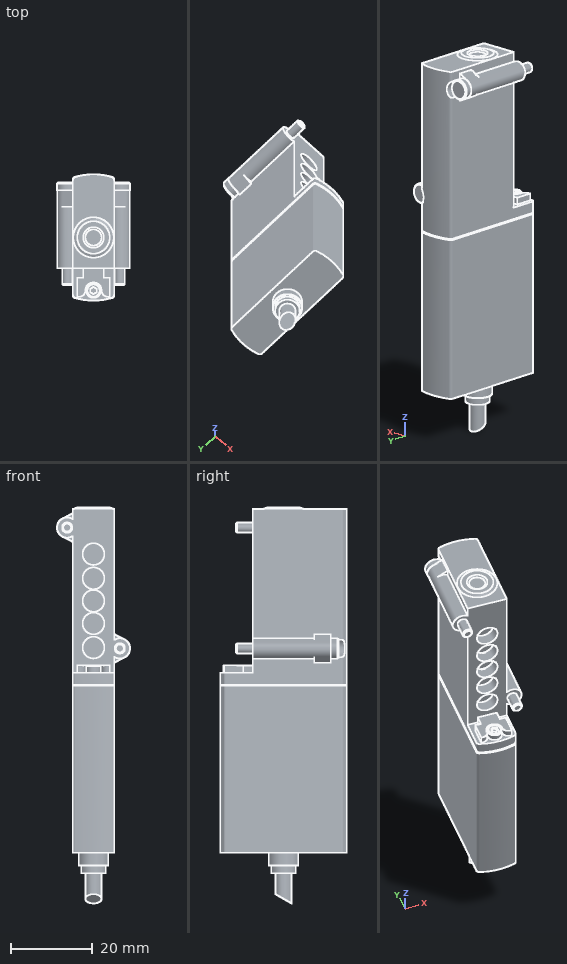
import cadquery as cq
import math


width = 10.2
depth = 31.0
body_height = 84.05
corner_radius = 0.8
step_height = 44.1
step_y = -7.6
joint_height = 41.0
joint_width = 0.3
joint_depth = 0.1

hole_diameter = 5.3
hole_depth = 3.0
hole_row_center = 61.6
hole_offsets = (-11.4, -5.5, 0, 5.5, 11.4)

screws = ((-1, 79.5), (1, 50.0))
head_diameter = 5.0
sleeve_diameter = 4.9
shank_diameter = 2.5
overall_width = 17.9
screw_x = (overall_width - head_diameter) / 2
head_back_y = 13.5
sleeve_back_y = 11.5
web_front_y = 7.5
shank_tip_y = -11.6
web_angle = 28.0
edge_chamfer = 0.3

button_base_diameter = 9.9
button_top_diameter = 7.9
total_height = 96.8
cable_end = -12.4
button_top = total_height + cable_end
dimple_rim_diameter = 5.0
dimple_floor_diameter = 4.0
dimple_depth = 0.4

gland_diameter = 7.3
gland_chamfer = 0.15
gland_length = 3.2
collar_diameter = 6.0
collar_bottom = -5.0
cable_diameter = 4.0
cable_cut_angle = 30.0

clamp_top = 45.8
clamp_stem_width = 4.9
clamp_width = 7.9
clamp_shoulder_y = -9.9
clamp_front_y = -14.5
clamp_screw_y = -13.0
clamp_slot_width = 4.0
clamp_screw_diameter = 3.6
clamp_screw_top = 45.9
hex_size = 1.7
hex_depth = 0.6


def rod(diameter, y_start, y_end, x, z):
    """Cylinder along Y."""
    plane = cq.Plane(origin=(x, y_start, z), xDir=(1, 0, 0), normal=(0, -1, 0))
    return cq.Workplane(plane).circle(diameter / 2).extrude(y_start - y_end)


def post(diameter, z_start, z_end, y=0):
    """Cylinder along Z on the middle plane of the housing."""
    return cq.Workplane("XY", origin=(0, y, z_start)).circle(diameter / 2).extrude(z_end - z_start)


def cone(bottom_diameter, top_diameter, z_start, z_end):
    """Truncated cone along Z on the axis of the housing."""
    solid = cq.Solid.makeCone(bottom_diameter / 2, top_diameter / 2, z_end - z_start)
    return cq.Workplane(solid.translate(cq.Vector(0, 0, z_start)))


def housing_block(height, inset=0):
    """Flat-sided prism whose front and back are arcs of one circle around the origin."""
    side = width / 2 - inset
    end_radius = depth / 2 - inset
    side_y = math.sqrt(end_radius**2 - side**2)
    return (
        cq.Workplane("XY")
        .moveTo(side, -side_y)
        .lineTo(side, side_y)
        .threePointArc((0, end_radius), (-side, side_y))
        .lineTo(-side, -side_y)
        .threePointArc((0, -end_radius), (side, -side_y))
        .close()
        .extrude(height)
        .edges("|Z")
        .fillet(corner_radius)
    )


def housing():
    """Block with a deep lower part, a slim upper part, a joint groove and a row of blind holes."""
    body = housing_block(body_height)
    step = cq.Workplane("XY").box(2 * width, depth, body_height, centered=(True, False, False))
    step = step.translate((0, step_y - depth, step_height))
    groove_bottom = joint_height - joint_width / 2
    groove = housing_block(joint_width).cut(housing_block(joint_width, joint_depth))
    body = body.cut(step).cut(groove.translate((0, 0, groove_bottom)))
    for offset in hole_offsets:
        body = body.cut(rod(hole_diameter, step_y + hole_depth, step_y, 0, hole_row_center + offset))
    return body


def mounting_screw(side, z):
    """Screw along Y with its sleeve, beside the housing."""
    x = side * screw_x
    head = rod(head_diameter, head_back_y, sleeve_back_y, x, z).faces(">Y").chamfer(edge_chamfer)
    sleeve = rod(sleeve_diameter, sleeve_back_y, step_y, x, z)
    shank = rod(shank_diameter, step_y, shank_tip_y, x, z).faces("<Y").chamfer(edge_chamfer)
    return head.union(sleeve).union(shank)


def screw_web(side, z):
    """Wedge that joins a sleeve to the housing side."""
    slope = math.radians(web_angle)
    radius = sleeve_diameter / 2
    tangent_x = screw_x + radius * math.sin(slope)
    tangent_z = radius * math.cos(slope)
    root_x = width / 2
    root_z = tangent_z + (tangent_x - root_x) * math.tan(slope)
    plane = cq.Plane(origin=(0, sleeve_back_y, z), xDir=(1, 0, 0), normal=(0, -1, 0))
    return (
        cq.Workplane(plane)
        .polyline([
            (side * root_x, -root_z),
            (side * tangent_x, -tangent_z),
            (side * tangent_x, tangent_z),
            (side * root_x, root_z),
        ])
        .close()
        .extrude(sleeve_back_y - web_front_y)
    )


def cable_outlet():
    """Stepped gland with a cable stub that is cut off at a slant."""
    gland = post(gland_diameter, -gland_length, 0).faces("<Z").chamfer(gland_chamfer)
    collar = post(collar_diameter, collar_bottom, 0)
    cable = post(cable_diameter, cable_end, 0)
    radius = cable_diameter / 2
    rise = cable_diameter * math.tan(math.radians(cable_cut_angle))
    slant = (
        cq.Workplane("YZ")
        .polyline([(radius, cable_end), (-radius, cable_end + rise), (-radius, cable_end)])
        .close()
        .extrude(cable_diameter, both=True)
    )
    return gland.union(collar).union(cable.cut(slant))


def clamp():
    """T-shaped plate whose open slot, rounded at the mouth, holds a socket head screw."""
    thickness = clamp_top - step_height
    corner = clamp_screw_y - clamp_front_y
    half_slot = clamp_slot_width / 2
    stem = cq.Workplane("XY").box(
        clamp_stem_width, step_y - clamp_front_y, thickness, centered=(True, False, False)
    )
    bar = cq.Workplane("XY").box(
        clamp_width, clamp_shoulder_y - clamp_front_y, thickness, centered=(True, False, False)
    )
    slot = (
        cq.Workplane("XY")
        .moveTo(-half_slot, clamp_screw_y)
        .threePointArc((0, clamp_screw_y + half_slot), (half_slot, clamp_screw_y))
        .radiusArc((half_slot + corner, clamp_front_y), -corner)
        .lineTo(-half_slot - corner, clamp_front_y)
        .radiusArc((-half_slot, clamp_screw_y), -corner)
        .close()
        .extrude(thickness)
        .translate((0, 0, step_height))
    )
    plate = stem.union(bar).translate((0, clamp_front_y, step_height)).cut(slot)
    screw = post(clamp_screw_diameter, step_height, clamp_screw_top, clamp_screw_y)
    screw = screw.faces(">Z").edges().chamfer(edge_chamfer)
    hexagon = (
        cq.Workplane("XY", origin=(0, clamp_screw_y, clamp_screw_top - hex_depth))
        .transformed(rotate=(0, 0, 90))
        .polygon(6, hex_size)
        .extrude(hex_depth)
    )
    return plate.union(screw.cut(hexagon))


def push_button():
    """Raised cone with a conical, flat-bottomed dimple."""
    raised = cone(button_base_diameter, button_top_diameter, body_height, button_top)
    dimple = cone(dimple_floor_diameter, dimple_rim_diameter, button_top - dimple_depth, button_top)
    return raised.cut(dimple)


result = housing()
for side, z in screws:
    recess = rod(head_diameter, depth / 2, sleeve_back_y, side * screw_x, z)
    result = result.cut(recess).union(screw_web(side, z)).union(mounting_screw(side, z))
result = result.union(push_button()).union(cable_outlet()).union(clamp())